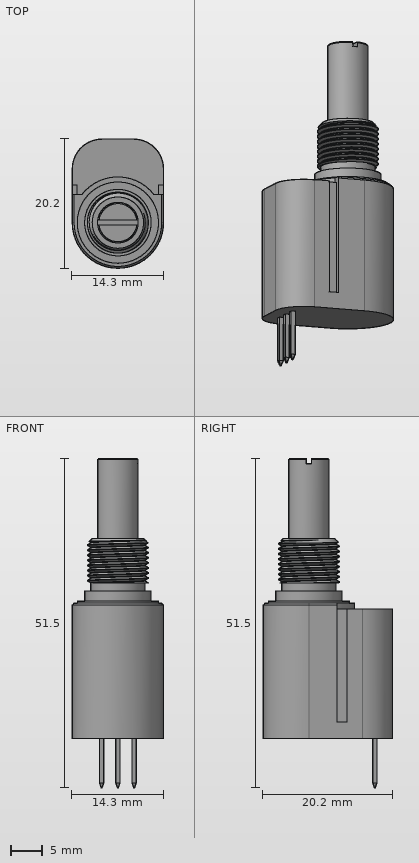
import cadquery as cq

housing_width = 14.29
housing_radius = housing_width / 2
housing_back_y = 13.075
back_corner_radius = 4.7
lid_top_z = 21.17
block_top_z = 20.3
lid_chamfer = 0.3
lid_back_y = 4.37

side_slot_width = 1.55
side_slot_depth = 0.78
side_slot_floor_z = 2.6

plate_radius = 6.35
plate_top_z = 21.5
collar_radius = 5.2
collar_top_z = 23.1
inch = 25.4
thread_radius = 3 / 8 * inch / 2
thread_pitch = inch / 32
thread_depth = 0.6134 * thread_pitch
thread_bottom_z = 24.3
thread_top_z = 31.3
thread_chamfer = 0.8
crest_width = 0.1
root_width = 0.75
ridge_sink = 0.05
neck_radius = thread_radius - thread_depth
thread_run_out = thread_pitch
core_overrun = 2 * thread_run_out

shaft_radius = 6.35 / 2
shaft_top_z = 43.8
shaft_chamfer = 0.2
driver_slot_width = 0.8
driver_slot_depth = 0.8

pin_pitch = 2.54
pin_y = 10.3
pin_width = 0.7
pin_length = 7.69
pin_tip_length = 0.8
pin_tip_width = 0.15


def turned(radius, bottom_z, top_z, top_chamfer=0):
    """Cylinder about the shaft axis, revolved from a profile on the -Y side."""
    profile = cq.Workplane("YZ").moveTo(0, bottom_z).lineTo(-radius, bottom_z)
    profile = profile.lineTo(-radius, top_z - top_chamfer)
    if top_chamfer:
        profile = profile.lineTo(-radius + top_chamfer, top_z)
    profile = profile.lineTo(0, top_z).close()
    return profile.revolve(360, (0, 0), (0, 1))


def u_outline(back_y):
    """Outline with a half-round front and straight sides back to back_y."""
    return (
        cq.Workplane("XY")
        .moveTo(-housing_radius, back_y)
        .lineTo(-housing_radius, 0)
        .threePointArc((0, -housing_radius), (housing_radius, 0))
        .lineTo(housing_radius, back_y)
        .close()
    )


def make_block():
    """Terminal block with rounded back corners, the full plan of the housing."""
    block = u_outline(housing_back_y).extrude(block_top_z)
    return block.edges("|Z and >Y").fillet(back_corner_radius)


def make_lid():
    """Raised front part: chamfered along its U-shaped rim, plain round behind."""
    front = u_outline(lid_back_y).extrude(lid_top_z)
    front = front.faces(">Z").edges("not >Y").chamfer(lid_chamfer)
    behind_lid = (
        cq.Workplane("XY")
        .box(housing_width, housing_radius, lid_top_z, centered=(True, False, False))
        .translate((0, lid_back_y, 0))
    )
    round_back = turned(housing_radius, 0, lid_top_z).intersect(behind_lid)
    return front.union(round_back)


def make_side_slot(side):
    """Cutter for one side slot, open at the top."""
    return (
        cq.Workplane("XY")
        .box(2 * side_slot_depth, side_slot_width, lid_top_z, centered=(True, False, False))
        .translate((side * housing_radius, lid_back_y, side_slot_floor_z))
    )


def make_housing():
    housing = make_block().union(make_lid())
    for side in (-1, 1):
        housing = housing.cut(make_side_slot(side))
    return housing


def make_thread_ridge():
    """One continuous helical ridge, longer than the thread at both ends."""
    ridge_length = thread_top_z - thread_bottom_z + 2 * thread_run_out
    root_radius = neck_radius - ridge_sink
    root_half_width = root_width / 2
    crest_half_width = crest_width / 2
    corners = (
        (root_radius, -root_half_width),
        (thread_radius, -crest_half_width),
        (thread_radius, crest_half_width),
        (root_radius, root_half_width),
    )
    helices = []
    for radius, height in corners:
        helix = cq.Wire.makeHelix(thread_pitch, ridge_length, radius)
        helices.append(helix.translate(cq.Vector(0, 0, height)))
    faces = []
    for index, helix in enumerate(helices):
        faces += cq.Face.makeRuledSurface(helices[index - 1], helix).Faces()
    for end in (0, 1):
        points = [helix.positionAt(end) for helix in helices]
        outline = cq.Wire.makePolygon(points, close=True)
        faces.append(cq.Face.makeFromWires(outline))
    ridge = cq.Solid.makeSolid(cq.Shell.makeShell(faces))
    return cq.Workplane(obj=ridge).translate((0, 0, thread_bottom_z - thread_run_out))


def make_threaded_bushing():
    """Threaded cylinder, trimmed flat at both ends and chamfered at the top."""
    envelope = turned(thread_radius + ridge_sink, thread_bottom_z, thread_top_z, thread_chamfer)
    core = turned(neck_radius, thread_bottom_z - core_overrun, thread_top_z + core_overrun)
    return core.union(make_thread_ridge()).intersect(envelope)


def make_shaft():
    """Plain round shaft with a screwdriver slot across its end."""
    shaft = turned(shaft_radius, thread_bottom_z, shaft_top_z, shaft_chamfer)
    driver_slot = (
        cq.Workplane("XY")
        .box(2 * shaft_radius, driver_slot_width, 2 * driver_slot_depth)
        .translate((0, 0, shaft_top_z))
    )
    return shaft.cut(driver_slot)


def make_pin(x):
    """Square terminal pin below the housing, tapering at its tip."""
    straight_length = pin_length - pin_tip_length
    pin = cq.Workplane("XY").center(x, pin_y).rect(pin_width, pin_width).extrude(-straight_length)
    tip = (
        cq.Workplane("XY", origin=(x, pin_y, -straight_length))
        .rect(pin_width, pin_width)
        .workplane(offset=-pin_tip_length)
        .rect(pin_tip_width, pin_tip_width)
        .loft()
    )
    return pin.union(tip)


result = make_housing()
result = result.union(turned(plate_radius, block_top_z, plate_top_z))
result = result.union(turned(collar_radius, plate_top_z, collar_top_z))
result = result.union(turned(neck_radius, collar_top_z, thread_bottom_z))
result = result.union(make_threaded_bushing())
result = result.union(make_shaft())
for pin_index in (-1, 0, 1):
    result = result.union(make_pin(pin_index * pin_pitch))